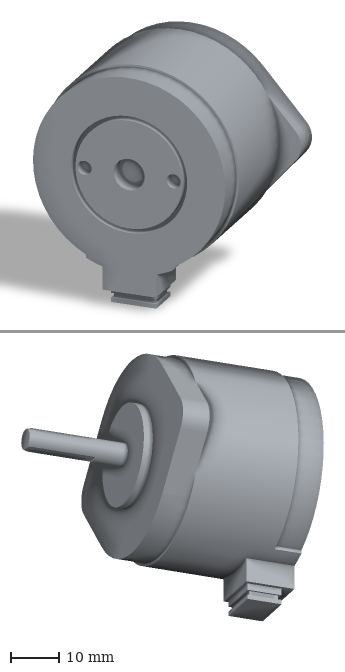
import cadquery as cq
import math


total_length = 58.0
rear_length = 6.0
body_length = 22.05
flange_thickness = 6.0
pilot_length = 2.05
flange_start = rear_length + body_length
pilot_start = flange_start + flange_thickness
pilot_end = pilot_start + pilot_length

body_radius = 22.15
end_radius = 21.5
pilot_radius = 11.0

flange_span = 54.0
ear_radius = 5.0
ear_center = flange_span / 2 - ear_radius

groove_outer_radius = 13.0
groove_inner_radius = 12.0
groove_depth = 2.0
rear_bore_radius = 3.5
rear_bore_depth = 3.0
pin_hole_radius = 1.55
pin_hole_offset = 10.0
pin_hole_depth = 2.0

saddle_width = 19.3
outlet_width = 12.0
outlet_length = 10.85
outlet_top = 15.65
outlet_bottom = 26.5
plug_center_y = 6.3
plug_width = 10.15
plug_length = 7.65
neck_width = 9.2
neck_length = 6.4
collar_bottom = 27.95
neck_bottom = 29.0
plug_bottom = 30.0

shaft_end_protrusion = 0.5
shaft_start = rear_bore_depth - shaft_end_protrusion
shaft_radius = 2.5
tip_chamfer_length = 1.0
tip_chamfer_depth = 0.3
flat_length = 15.15
flat_depth = 0.4


def cylinder(radius, start, length):
    """Cylinder on the motor axis, from y = start toward +Y."""
    return cq.Workplane("XZ", origin=(0, start, 0)).circle(radius).extrude(-length)


def block(width, start, length, top, bottom):
    """Box centred on x = 0, from y = start toward +Y, between the heights top and bottom."""
    return (
        cq.Workplane("XY", origin=(0, start, bottom))
        .box(width, length, top - bottom, centered=(True, False, False))
    )


def make_flange():
    """Round flange with two ears whose straight sides are tangent to the disc and the ear tips."""
    normal_angle = math.acos((end_radius - ear_radius) / ear_center)
    normal_x = math.cos(normal_angle)
    normal_z = math.sin(normal_angle)
    disc_x = end_radius * normal_x
    disc_z = end_radius * normal_z
    tip_x = ear_center + ear_radius * normal_x
    tip_z = ear_radius * normal_z
    return (
        cq.Workplane("XZ", origin=(0, flange_start, 0))
        .moveTo(-disc_x, disc_z)
        .threePointArc((0, end_radius), (disc_x, disc_z))
        .lineTo(tip_x, tip_z)
        .threePointArc((flange_span / 2, 0), (tip_x, -tip_z))
        .lineTo(disc_x, -disc_z)
        .threePointArc((0, -end_radius), (-disc_x, -disc_z))
        .lineTo(-tip_x, -tip_z)
        .threePointArc((-flange_span / 2, 0), (-tip_x, tip_z))
        .close()
        .extrude(-flange_thickness)
    )


def make_outlet():
    """Cable outlet block with a grooved rectangular plug at its lower end."""
    outlet = block(outlet_width, 0, outlet_length, -outlet_top, -outlet_bottom)
    steps = [
        (plug_width, plug_length, outlet_bottom, collar_bottom),
        (neck_width, neck_length, collar_bottom, neck_bottom),
        (plug_width, plug_length, neck_bottom, plug_bottom),
    ]
    for width, length, top, bottom in steps:
        outlet = outlet.union(block(width, plug_center_y - length / 2, length, -top, -bottom))
    return outlet


def make_saddle():
    """Part of the rear section that keeps the full body radius above the cable outlet."""
    return cylinder(body_radius, 0, rear_length).intersect(
        block(saddle_width, 0, rear_length, 0, -body_radius)
    )


def make_shaft():
    """Shaft with a tapered tip and a flat on its lower side near the tip."""
    tip_start = total_length - tip_chamfer_length
    shaft = (
        cq.Workplane("XY")
        .moveTo(0, shaft_start)
        .lineTo(shaft_radius, shaft_start)
        .lineTo(shaft_radius, tip_start)
        .lineTo(shaft_radius - tip_chamfer_depth, total_length)
        .lineTo(0, total_length)
        .close()
        .revolve(360, (0, 0, 0), (0, 1, 0))
    )
    flat_top = -shaft_radius + flat_depth
    return shaft.cut(
        block(2 * shaft_radius, total_length - flat_length, flat_length, flat_top, -shaft_radius)
    )


def make_housing():
    """Motor housing with flange, pilot, cable outlet and rear face details."""
    housing = (
        cylinder(end_radius, 0, rear_length)
        .union(cylinder(body_radius, rear_length, body_length))
        .union(make_flange())
        .union(cylinder(pilot_radius, pilot_start, pilot_length))
        .union(make_saddle())
        .union(make_outlet())
    )
    groove = cylinder(groove_outer_radius, 0, groove_depth).cut(
        cylinder(groove_inner_radius, 0, groove_depth)
    )
    housing = housing.cut(groove)
    for x in (-pin_hole_offset, pin_hole_offset):
        housing = housing.cut(cylinder(pin_hole_radius, 0, pin_hole_depth).translate((x, 0, 0)))
    housing = housing.cut(cylinder(rear_bore_radius, 0, rear_bore_depth))
    return housing.cut(cylinder(shaft_radius, rear_bore_depth, pilot_end - rear_bore_depth))


housing = make_housing()
shaft = make_shaft()
result = cq.Compound.makeCompound([housing.val(), shaft.val()])